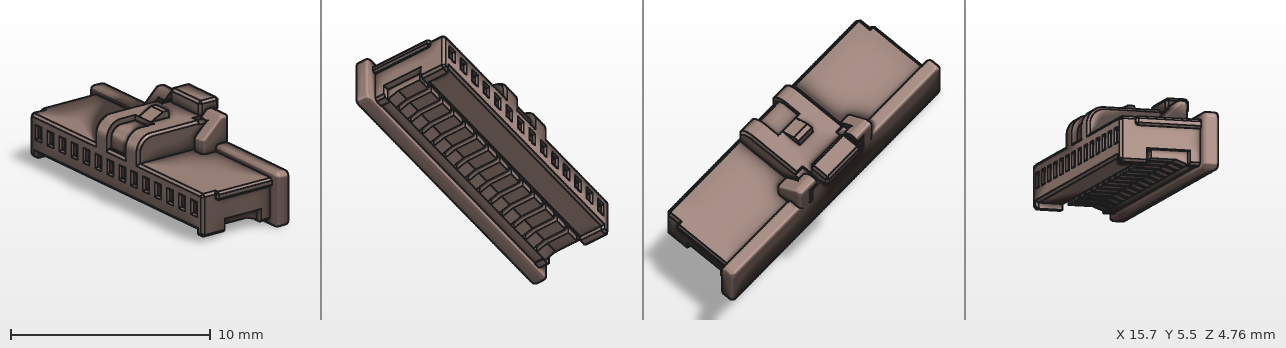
import cadquery as cq


CONTACTS = 14
PITCH = 1.0
HOLE_WIDTH = 0.32
HOLE_HEIGHT = 0.61
HOLE_Z = 1.67
HOLE_DEPTH = 0.28
HOLE_BEVEL = 0.1

FLANGE_WIDTH = 15.7
FLANGE_HEIGHT = 2.94
FLANGE_FRONT = 4.2
FLANGE_BACK = 5.0
FLANGE_CORNER = 0.3
FLANGE_ROUND = 0.19

BODY_WIDTH = 14.44
BODY_BOTTOM = 0.27
BODY_TOP = 2.58
EDGE_BEVEL = 0.14
FOOT_WIDTH = 0.52
FRONT_WALL = 1.4
FRONT_WALL_BOTTOM = 0.56
CHANNEL_BACK = 3.67
CHANNEL_TOP = 1.0
SILL_BOTTOM = 0.33

LEDGE_SPAN = 14.82
LEDGE_BOTTOM = 2.12
LEDGE_FRONT = 0.79
LEDGE_BEVEL = 0.12

RIB_WIDTH = 0.72
RIB_FRONT = 1.735
RIB_SLOPE_START = 3.03

LATCH_WIDTH = 3.64
LATCH_TOP = 4.02
LATCH_BACK = 3.82
SHELF_TOP = 3.83
LATCH_RADIUS = 0.9
LATCH_BEVEL = 0.14
LATCH_ROOT = BODY_TOP - EDGE_BEVEL
RECESS_WIDTH = 1.59
RECESS_LENGTH = 1.79
RECESS_DEPTH = 0.3

RAMP_WIDTH = 1.01
RAMP_TOP = 4.4
RAMP_CREST_FRONT = 2.56
RAMP_CREST_BACK = 2.87
RAMP_BACK = 2.95

TAB_WIDTH = 2.52
TAB_TOP = 4.76
TAB_FRONT = 4.3
TAB_BACK = 5.5
TAB_BACK_BOTTOM = 4.03
TAB_BEVEL = 0.14

GUARD_OUTER = 2.72
GUARD_INNER = 2.03
GUARD_LIP = 1.505
GUARD_TOP = 4.4
GUARD_FRONT = 3.4
GUARD_SHOULDER = 3.31
GUARD_CREST = 4.54
GUARD_LIP_BOTTOM = 4.03
GUARD_ROUND = 0.19


def block(x_range, y_range, z_range):
    """Box between the given limits."""
    low, high = zip(x_range, y_range, z_range)
    size = [b - a for a, b in zip(low, high)]
    return cq.Workplane("XY").box(*size, centered=False).translate(low)


def centred_block(width, y_range, z_range):
    """Box symmetric about the YZ plane."""
    return block((-width / 2, width / 2), y_range, z_range)


def side_profile(points, x_start, x_end):
    """Extrude a closed (Y, Z) outline along X."""
    outline = cq.Workplane("YZ").workplane(offset=x_start).polyline(points).close()
    return outline.extrude(x_end - x_start)


def make_flange():
    flange = centred_block(FLANGE_WIDTH, (FLANGE_FRONT, FLANGE_BACK), (0, FLANGE_HEIGHT))
    flange = flange.edges("|Y").fillet(FLANGE_CORNER)
    flange = flange.faces("<Y or >Y").edges().fillet(FLANGE_ROUND)
    latch_gap = centred_block(
        2 * GUARD_INNER, (FLANGE_FRONT, FLANGE_BACK), (BODY_TOP, FLANGE_HEIGHT)
    )
    return flange.cut(latch_gap)


def make_body():
    body = centred_block(BODY_WIDTH, (0, FLANGE_FRONT), (BODY_BOTTOM, BODY_TOP))
    body = body.edges("|Y").chamfer(EDGE_BEVEL)
    between_feet = BODY_WIDTH - 2 * FOOT_WIDTH
    body = body.cut(centred_block(between_feet, (0, FRONT_WALL), (BODY_BOTTOM, FRONT_WALL_BOTTOM)))
    body = body.faces("<Y").edges().chamfer(EDGE_BEVEL)
    body = body.cut(centred_block(BODY_WIDTH, (FRONT_WALL, CHANNEL_BACK), (BODY_BOTTOM, CHANNEL_TOP)))
    return body.cut(
        centred_block(between_feet, (CHANNEL_BACK, FLANGE_FRONT), (BODY_BOTTOM, SILL_BOTTOM))
    )


def make_ledges():
    ledges = centred_block(LEDGE_SPAN, (LEDGE_FRONT, FLANGE_FRONT), (LEDGE_BOTTOM, BODY_TOP))
    return ledges.faces("<X or >X or <Y").edges("not >Y").chamfer(LEDGE_BEVEL)


def make_rib(x):
    outline = [
        (RIB_FRONT, CHANNEL_TOP),
        (RIB_FRONT, FRONT_WALL_BOTTOM),
        (RIB_SLOPE_START, FRONT_WALL_BOTTOM),
        (CHANNEL_BACK, SILL_BOTTOM),
        (CHANNEL_BACK, CHANNEL_TOP),
    ]
    return side_profile(outline, x - RIB_WIDTH / 2, x + RIB_WIDTH / 2)


def make_contact_hole(x):
    """Blind rectangular hole with a bevelled mouth in the front face."""
    hole = centred_block(HOLE_WIDTH, (0, HOLE_DEPTH), (-HOLE_HEIGHT / 2, HOLE_HEIGHT / 2))
    mouth = (
        cq.Workplane("XZ")
        .rect(HOLE_WIDTH + 2 * HOLE_BEVEL, HOLE_HEIGHT + 2 * HOLE_BEVEL)
        .workplane(offset=-HOLE_BEVEL)
        .rect(HOLE_WIDTH, HOLE_HEIGHT)
        .loft(ruled=True)
    )
    return hole.union(mouth).translate((x, 0, HOLE_Z))


def make_latch_arm():
    arm = centred_block(LATCH_WIDTH, (0, LATCH_BACK), (LATCH_ROOT, LATCH_TOP))
    arm = arm.edges("<Y and >Z").fillet(LATCH_RADIUS)
    arm = arm.faces("<X or >X").edges("not (<Z or >Y)").chamfer(LATCH_BEVEL)

    recess = centred_block(RECESS_WIDTH, (0, RECESS_LENGTH), (LATCH_ROOT, LATCH_TOP))
    floor = centred_block(
        RECESS_WIDTH, (RECESS_DEPTH, RECESS_LENGTH), (LATCH_ROOT, LATCH_TOP - RECESS_DEPTH)
    )
    floor = floor.edges("<Y and >Z").fillet(LATCH_RADIUS - RECESS_DEPTH)
    return arm.cut(recess.cut(floor))


def make_ramp():
    outline = [
        (RECESS_LENGTH, LATCH_TOP),
        (RAMP_CREST_FRONT, RAMP_TOP),
        (RAMP_CREST_BACK, RAMP_TOP),
        (RAMP_BACK, LATCH_TOP),
    ]
    return side_profile(outline, -RAMP_WIDTH / 2, RAMP_WIDTH / 2)


def make_tab():
    """Thumb tab overhanging the flange, with an underside that slopes up from the shelf to the back."""
    slope = (TAB_BACK_BOTTOM - SHELF_TOP) / (TAB_BACK - FLANGE_BACK)
    front_bottom = SHELF_TOP - slope * (FLANGE_BACK - TAB_FRONT)
    outline = [
        (TAB_FRONT, front_bottom),
        (TAB_BACK, TAB_BACK_BOTTOM),
        (TAB_BACK, TAB_TOP),
        (TAB_FRONT, TAB_TOP),
    ]
    return side_profile(outline, -TAB_WIDTH / 2, TAB_WIDTH / 2).edges().chamfer(TAB_BEVEL)


def make_latch_rear():
    """Low shelf passing under the guard lips, with a narrow neck on it level with the arm."""
    shelf = centred_block(LATCH_WIDTH, (LATCH_BACK, FLANGE_BACK), (LATCH_ROOT, SHELF_TOP))
    neck = centred_block(TAB_WIDTH, (LATCH_BACK, FLANGE_BACK), (LATCH_ROOT, LATCH_TOP))
    return shelf.union(neck)


def make_guard():
    """Guard on the -X side, with a lip that reaches over the latch neck."""
    outline = [
        (FLANGE_BACK, LATCH_ROOT),
        (FLANGE_BACK, GUARD_TOP),
        (GUARD_CREST, GUARD_TOP),
        (GUARD_FRONT, GUARD_SHOULDER),
        (GUARD_FRONT, LATCH_ROOT),
    ]
    guard = side_profile(outline, -GUARD_OUTER, -GUARD_LIP)
    guard = guard.edges("(<X or |X) and (not <Z)").fillet(GUARD_ROUND)
    under_lip = block(
        (-GUARD_INNER, -GUARD_LIP), (GUARD_FRONT, FLANGE_BACK), (LATCH_ROOT, GUARD_LIP_BOTTOM)
    )
    return guard.cut(under_lip)


contact_xs = [(i - (CONTACTS - 1) / 2) * PITCH for i in range(CONTACTS)]

result = make_body().union(make_ledges()).union(make_flange())
for contact_x in contact_xs:
    result = result.union(make_rib(contact_x)).cut(make_contact_hole(contact_x))

guard = make_guard()
for feature in (
    make_latch_arm(),
    make_latch_rear(),
    make_ramp(),
    make_tab(),
    guard,
    guard.mirror("YZ"),
):
    result = result.union(feature)